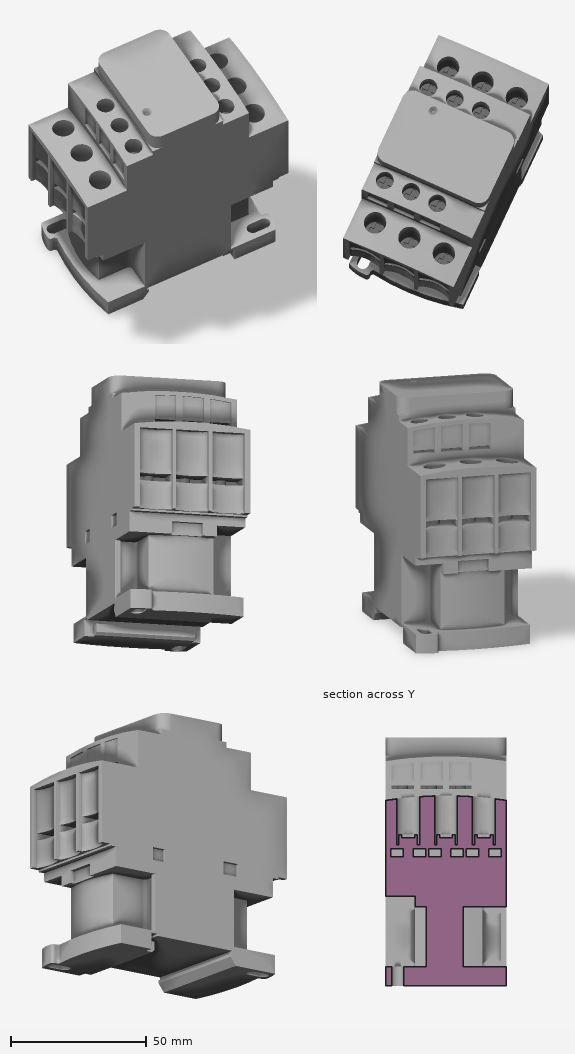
import cadquery as cq
import math

WIDTH = 44.8
HALF_WIDTH = WIDTH / 2
LENGTH = 84.8
HEIGHT = 91.85

TIER_RISE = 1.7
LOWER_TIER_HALF_LENGTH = LENGTH / 2
LOWER_TIER_BOTTOM = 37.3
LOWER_TIER_EDGE = 68.6
UPPER_TIER_HALF_LENGTH = 25.8
UPPER_TIER_EDGE = 83.0
ARCH_RADIUS = (HALF_WIDTH**2 + TIER_RISE**2) / (2 * TIER_RISE)

PEDESTAL_HALF_LENGTH = 14.8
PEDESTAL_TOP = 85.1
CAP_LENGTH = 29.5
CAP_OFFSET_Y = 0.1
CAP_CORNER_RADIUS = 4.1
DIMPLE_X = 9.7
DIMPLE_Y = -10.3
DIMPLE_RADIUS = 1.8
DIMPLE_FLOOR_RADIUS = 0.6
DIMPLE_DEPTH = 1.4

STEP_HALF_LENGTH = 38.5
STEP_BOTTOM = 36.6
SKIRT_HALF_LENGTH = 35.9
SKIRT_BOTTOM = 29.1
NOTCH_WIDTH = 12.0
NOTCH_TOP = 33.8
NOTCH_DEPTH = 1.8
CORNER_CUT_TOP = 33.2

TRUNK_HALF_LENGTH = 18.2
COIL_LEFT = -13.4
COIL_RIGHT = 11.5
COIL_LEFT_Y = -30.8
COIL_RIGHT_Y = -31.6
COIL_APEX_Y = -33.1
WALL_THICKNESS = 2.1
WALL_GROOVE_DEPTH = 2.3
LEFT_FILLET = 1.5
RIGHT_FILLET = 1.65

BASE_HEIGHT = 7.2
BASE_APEX_Y = 36.5
BASE_CORNER_Y = 33.7
RAIL_TOP = 5.5
RAIL_BACK_Y = 19.7
RAIL_BACK_TOP = 6.2
RAIL_GROOVE_Y = 16.9
HOOK_Y = -16.5
HOOK_NOTCH_Y = -17.3
HOOK_NOTCH_BOTTOM = 4.3
HOOK_TIP_BOTTOM = 3.1
HOOK_FOOT_Y = -18.9
LATCH_TIP_Y = 15.8
LATCH_HEIGHT = 4.2
LATCH_HALF_WIDTH = 19.0
LATCH_TOP_CHAMFER = 0.4
LATCH_FOOT_CHAMFER = 1.1

TAB_CORNER_Y = -37.0
TAB_END_Y = -38.4
TAB_END_MID_Y = -38.1
TAB_ROOT_Y = -35.55
TAB_SIDE_X = -14.0
TAB_CORNER_RADIUS = 1.2
TAB_ROOT_FILLET = 1.1
TAB_SLOT_X = -17.8
TAB_SLOT_Y = -32.3
TAB_SLOT_LENGTH = 9.4
TAB_SLOT_WIDTH = 4.4

POWER_PITCH = 14.0
POWER_Y = 32.4
POWER_HOLE_RADIUS = 4.1
POWER_HOLE_FLOOR = 52.4
POWER_HEAD_RADIUS = 3.5
POWER_HEAD_TOP = 56.0
POWER_CELL_WIDTH = 12.7
POWER_CELL_TOP = 67.1
POWER_CELL_EDGE_DEPTH = 1.7
POWER_CELL_MID_DEPTH = 3.1
POWER_SLIT_BOTTOM = 47.85
POWER_SLIT_TOP = 50.6

AUX_PITCH = 10.7
AUX_MIDDLE_X = 5.3
AUX_Y = 19.4
AUX_HOLE_RADIUS = 3.3
AUX_HOLE_FLOOR = 76.2
AUX_WINDOW_WIDTH = 8.3
AUX_WINDOW_DEPTH = 0.7
AUX_WINDOW_ROOF = 1.6
AUX_SLIT_BOTTOM = 72.7
AUX_SLIT_TOP = 74.1

SHANK_RADIUS = 1.9
RECESS_DEPTH = 1.1

POWER_CROSS_LONG = (6.6, 1.7)
POWER_CROSS_SHORT = (4.6, 1.65)
AUX_CROSS_LONG = (6.2, 1.4)
AUX_CROSS_SHORT = (5.0, 1.1)

SIDE_POCKET_BOTTOM = 34.3
SIDE_POCKET_TOP = 39.2
SIDE_POCKET_DEPTH = 1.6
FRONT_POCKET_Y = (-20.0, -13.4)
REAR_POCKET_Y = (13.5, 19.1)


def box(x0, x1, y0, y1, z0, z1):
    """Axis-aligned block between two corners."""
    return cq.Workplane("XY").box(x1 - x0, y1 - y0, z1 - z0, centered=False).translate((x0, y0, z0))


def full_width_block(half_length, z0, z1):
    return box(-HALF_WIDTH, HALF_WIDTH, -half_length, half_length, z0, z1)


def disc(x, y, radius, z0, z1):
    return cq.Workplane("XY").center(x, y).circle(radius).extrude(z1 - z0).translate((0, 0, z0))


def front_and_rear(front):
    """A shape together with its mirror image at the other end of the part."""
    return front.union(front.mirror("XZ"))


def arched_tier(half_length, bottom, edge):
    return (
        cq.Workplane("XZ")
        .moveTo(-HALF_WIDTH, bottom)
        .lineTo(-HALF_WIDTH, edge)
        .threePointArc((0, edge + TIER_RISE), (HALF_WIDTH, edge))
        .lineTo(HALF_WIDTH, bottom)
        .close()
        .extrude(half_length, both=True)
    )


def skirt():
    """Narrower block under the tiers, with a notch and a cut-away right corner at each end."""
    step = full_width_block(STEP_HALF_LENGTH, STEP_BOTTOM, LOWER_TIER_BOTTOM)
    block = full_width_block(SKIRT_HALF_LENGTH, SKIRT_BOTTOM, STEP_BOTTOM)
    notch = box(
        -NOTCH_WIDTH / 2, NOTCH_WIDTH / 2,
        -SKIRT_HALF_LENGTH, NOTCH_DEPTH - SKIRT_HALF_LENGTH,
        SKIRT_BOTTOM, NOTCH_TOP,
    )
    corner = box(
        COIL_RIGHT, HALF_WIDTH, -SKIRT_HALF_LENGTH, -TRUNK_HALF_LENGTH, SKIRT_BOTTOM, CORNER_CUT_TOP
    )
    corner = corner.edges("|Z and <X and >Y").fillet(RIGHT_FILLET)
    return step.union(block).cut(front_and_rear(notch.union(corner)))


def inner_fillet_mid(x, y, radius, side):
    """Middle of a concave quarter arc in the corner (x, y), which opens to -Y and to `side` in X."""
    offset = radius * (1 - math.sqrt(0.5))
    return (x + side * offset, y - offset)


def waist():
    """Trunk and coil block: one plan outline for the front half, mirrored to the rear."""
    groove_y = WALL_GROOVE_DEPTH - TRUNK_HALF_LENGTH
    wall_x = WALL_THICKNESS - HALF_WIDTH
    front = (
        cq.Workplane("XY")
        .moveTo(-HALF_WIDTH, 0)
        .lineTo(-HALF_WIDTH, -TRUNK_HALF_LENGTH)
        .lineTo(wall_x, -TRUNK_HALF_LENGTH)
        .lineTo(wall_x, groove_y)
        .lineTo(COIL_LEFT - LEFT_FILLET, groove_y)
        .threePointArc(
            inner_fillet_mid(COIL_LEFT, groove_y, LEFT_FILLET, -1), (COIL_LEFT, groove_y - LEFT_FILLET)
        )
        .lineTo(COIL_LEFT, COIL_LEFT_Y)
        .threePointArc((0, COIL_APEX_Y), (COIL_RIGHT, COIL_RIGHT_Y))
        .lineTo(COIL_RIGHT, -TRUNK_HALF_LENGTH - RIGHT_FILLET)
        .threePointArc(
            inner_fillet_mid(COIL_RIGHT, -TRUNK_HALF_LENGTH, RIGHT_FILLET, 1),
            (COIL_RIGHT + RIGHT_FILLET, -TRUNK_HALF_LENGTH),
        )
        .lineTo(HALF_WIDTH, -TRUNK_HALF_LENGTH)
        .lineTo(HALF_WIDTH, 0)
        .close()
        .extrude(SKIRT_BOTTOM)
    )
    return front_and_rear(front)


def mounting_tab():
    """Front left tab with a rounded end, a rounded inner corner and a fillet into the base."""
    inner_y = -BASE_CORNER_Y / 2
    corner_x = TAB_SIDE_X - TAB_CORNER_RADIUS
    corner_offset = TAB_CORNER_RADIUS * math.sqrt(0.5)
    end_mid = ((corner_x - HALF_WIDTH) / 2, TAB_END_MID_Y)
    return (
        cq.Workplane("XY")
        .moveTo(-HALF_WIDTH, inner_y)
        .lineTo(-HALF_WIDTH, TAB_CORNER_Y)
        .threePointArc(end_mid, (corner_x, TAB_END_Y))
        .threePointArc(
            (corner_x + corner_offset, TAB_END_Y + TAB_CORNER_RADIUS - corner_offset),
            (TAB_SIDE_X, TAB_END_Y + TAB_CORNER_RADIUS),
        )
        .lineTo(TAB_SIDE_X, TAB_ROOT_Y - TAB_ROOT_FILLET)
        .threePointArc(
            inner_fillet_mid(TAB_SIDE_X, TAB_ROOT_Y, TAB_ROOT_FILLET, 1),
            (TAB_SIDE_X + TAB_ROOT_FILLET, TAB_ROOT_Y),
        )
        .lineTo(TAB_SIDE_X + TAB_ROOT_FILLET, inner_y)
        .close()
        .extrude(BASE_HEIGHT)
    )


def tab_slot():
    return (
        cq.Workplane("XY")
        .center(TAB_SLOT_X, TAB_SLOT_Y)
        .slot2D(TAB_SLOT_LENGTH, TAB_SLOT_WIDTH, 90)
        .extrude(BASE_HEIGHT)
    )


def base_plate():
    plate = (
        cq.Workplane("XY")
        .moveTo(-HALF_WIDTH, -BASE_CORNER_Y)
        .threePointArc((0, -BASE_APEX_Y), (HALF_WIDTH, -BASE_CORNER_Y))
        .lineTo(HALF_WIDTH, BASE_CORNER_Y)
        .threePointArc((0, BASE_APEX_Y), (-HALF_WIDTH, BASE_CORNER_Y))
        .close()
        .extrude(BASE_HEIGHT)
    )
    for angle in (0, 180):
        plate = plate.union(mounting_tab().rotate((0, 0, 0), (0, 0, 1), angle))
    for angle in (0, 180):
        plate = plate.cut(tab_slot().rotate((0, 0, 0), (0, 0, 1), angle))
    return plate


def rail_channel():
    """Channel across the underside, with a fixed hook at the front and a groove at the rear."""
    return (
        cq.Workplane("YZ")
        .polyline([
            (HOOK_FOOT_Y, 0),
            (HOOK_Y, HOOK_TIP_BOTTOM),
            (HOOK_Y, HOOK_NOTCH_BOTTOM),
            (HOOK_NOTCH_Y, HOOK_NOTCH_BOTTOM),
            (HOOK_NOTCH_Y, RAIL_TOP),
            (RAIL_GROOVE_Y, RAIL_TOP),
            (RAIL_GROOVE_Y, RAIL_BACK_TOP),
            (RAIL_BACK_Y, RAIL_BACK_TOP),
            (RAIL_BACK_Y, 0),
        ])
        .close()
        .extrude(HALF_WIDTH, both=True)
    )


def rail_latch():
    """Latch nose that reaches under the rail from the rear of the channel."""
    nose = box(-LATCH_HALF_WIDTH, LATCH_HALF_WIDTH, LATCH_TIP_Y, RAIL_BACK_Y, 0, LATCH_HEIGHT)
    nose = nose.edges("|X and <Y and >Z").chamfer(LATCH_TOP_CHAMFER)
    return nose.edges("|X and <Y and <Z").chamfer(LATCH_FOOT_CHAMFER)


def cross_recess(x, y, long_bar, short_bar, top):
    """Screwdriver cross: the long bar runs along Y and the short one along X."""
    long_length, long_width = long_bar
    short_length, short_width = short_bar
    along_y = cq.Workplane("XY").box(long_width, long_length, RECESS_DEPTH)
    along_x = cq.Workplane("XY").box(short_length, short_width, RECESS_DEPTH)
    return along_y.union(along_x).translate((x, y, top - RECESS_DEPTH / 2))


def screw_slit(x, y, face_y, width, bottom, top):
    """Slit from the end face back to the screw axis, leaving the screw shank standing."""
    slit = box(x - width / 2, x + width / 2, face_y, y, bottom, top)
    return slit.cut(disc(x, y, SHANK_RADIUS, bottom, top))


def power_terminal(x):
    """Removed volume of a front power terminal: hollow-faced cell, slit, screw hole and cross."""
    face_y = -LOWER_TIER_HALF_LENGTH
    left = x - POWER_CELL_WIDTH / 2
    right = x + POWER_CELL_WIDTH / 2
    cell = (
        cq.Workplane("XY")
        .moveTo(left, face_y)
        .lineTo(left, face_y + POWER_CELL_EDGE_DEPTH)
        .threePointArc((x, face_y + POWER_CELL_MID_DEPTH), (right, face_y + POWER_CELL_EDGE_DEPTH))
        .lineTo(right, face_y)
        .close()
        .extrude(POWER_CELL_TOP - LOWER_TIER_BOTTOM)
        .translate((0, 0, LOWER_TIER_BOTTOM))
    )
    tier_top = LOWER_TIER_EDGE + TIER_RISE
    hole = disc(x, -POWER_Y, POWER_HOLE_RADIUS, POWER_HOLE_FLOOR, tier_top)
    hole = hole.cut(disc(x, -POWER_Y, POWER_HEAD_RADIUS, POWER_HOLE_FLOOR, POWER_HEAD_TOP))
    cross = cross_recess(x, -POWER_Y, POWER_CROSS_LONG, POWER_CROSS_SHORT, POWER_HEAD_TOP)
    slit = screw_slit(x, -POWER_Y, face_y, POWER_CELL_WIDTH, POWER_SLIT_BOTTOM, POWER_SLIT_TOP)
    return cell.union(slit).union(hole).union(cross)


def aux_terminal(x):
    """Removed volume of a front auxiliary terminal: window, slit, screw hole and cross."""
    face_y = -UPPER_TIER_HALF_LENGTH
    left = x - AUX_WINDOW_WIDTH / 2
    right = x + AUX_WINDOW_WIDTH / 2
    tier_top = UPPER_TIER_EDGE + TIER_RISE
    roof = (
        cq.Workplane("XZ")
        .center(0, tier_top - ARCH_RADIUS)
        .circle(ARCH_RADIUS - AUX_WINDOW_ROOF)
        .extrude(UPPER_TIER_HALF_LENGTH)
    )
    window = box(left, right, face_y, face_y + AUX_WINDOW_DEPTH, AUX_SLIT_BOTTOM, tier_top).intersect(roof)
    hole = disc(x, -AUX_Y, AUX_HOLE_RADIUS, AUX_HOLE_FLOOR, tier_top)
    cross = cross_recess(x, -AUX_Y, AUX_CROSS_LONG, AUX_CROSS_SHORT, AUX_HOLE_FLOOR)
    slit = screw_slit(x, -AUX_Y, face_y, AUX_WINDOW_WIDTH, AUX_SLIT_BOTTOM, AUX_SLIT_TOP)
    return window.union(slit).union(hole).union(cross)


def side_pocket(y0, y1):
    return box(-HALF_WIDTH, SIDE_POCKET_DEPTH - HALF_WIDTH, y0, y1, SIDE_POCKET_BOTTOM, SIDE_POCKET_TOP)


def make_housing():
    body = arched_tier(LOWER_TIER_HALF_LENGTH, LOWER_TIER_BOTTOM, LOWER_TIER_EDGE)
    body = body.union(arched_tier(UPPER_TIER_HALF_LENGTH, LOWER_TIER_BOTTOM, UPPER_TIER_EDGE))
    body = body.union(full_width_block(PEDESTAL_HALF_LENGTH, LOWER_TIER_BOTTOM, PEDESTAL_TOP))
    body = body.union(skirt()).union(waist()).union(base_plate())
    body = body.cut(rail_channel()).union(rail_latch())
    for column in (-1, 0, 1):
        body = body.cut(front_and_rear(power_terminal(column * POWER_PITCH)))
        body = body.cut(front_and_rear(aux_terminal(AUX_MIDDLE_X + column * AUX_PITCH)))
    for span in (FRONT_POCKET_Y, REAR_POCKET_Y):
        body = body.cut(side_pocket(*span))
    return body


def make_cap():
    cap = cq.Workplane("XY").box(WIDTH, CAP_LENGTH, HEIGHT - PEDESTAL_TOP, centered=(True, True, False))
    cap = cap.translate((0, CAP_OFFSET_Y, PEDESTAL_TOP)).edges("|Z").fillet(CAP_CORNER_RADIUS)
    dimple = (
        cq.Workplane("XY", origin=(DIMPLE_X, DIMPLE_Y, HEIGHT))
        .circle(DIMPLE_RADIUS)
        .workplane(offset=-DIMPLE_DEPTH)
        .circle(DIMPLE_FLOOR_RADIUS)
        .loft(ruled=True)
    )
    return cap.cut(dimple)


housing = make_housing()
cap = make_cap()
result = cq.Compound.makeCompound([housing.val(), cap.val()])